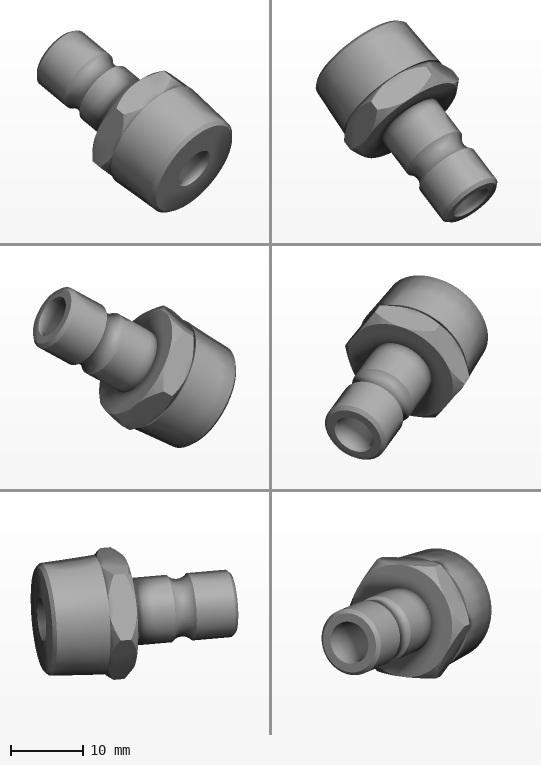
import cadquery as cq
import math

total_length = 27.0
hex_start = 15.0
hex_length = 4.0
hex_end = hex_start + hex_length

stem_radius = 9.4 / 2
stem_chamfer = 0.5
groove_start = 6.0
groove_end = 9.0
groove_radius = 2.0
groove_half_width = (groove_end - groove_start) / 2
groove_depth = groove_radius - math.sqrt(groove_radius**2 - groove_half_width**2)
bore_diameter = 6.0

hex_sides = 6
across_flats = 16.0
across_corners = across_flats / math.cos(math.pi / hex_sides)
hex_chamfer_length = 1.25

taper_start_radius = 16.662 / 2
taper_slope = 1 / 16
taper_chamfer = 0.5
taper_end = total_length - taper_chamfer
taper_end_radius = taper_start_radius - taper_slope * (taper_end - hex_end)

axis_start = (0, 0, 0)
axis_end = (1, 0, 0)
full_turn = 360


def make_stem():
    """Plain cylinder with a chamfered tip and a round-bottomed groove."""
    groove_middle = groove_start + groove_half_width
    profile = (
        cq.Workplane("XY")
        .moveTo(0, 0)
        .lineTo(0, stem_radius - stem_chamfer)
        .lineTo(stem_chamfer, stem_radius)
        .lineTo(groove_start, stem_radius)
        .threePointArc((groove_middle, stem_radius - groove_depth), (groove_end, stem_radius))
        .lineTo(hex_end, stem_radius)
        .lineTo(hex_end, 0)
        .close()
    )
    return profile.revolve(full_turn, axis_start, axis_end)


def make_hexagon():
    """Hexagon with corners on +Y and -Y, trimmed by a cone at each end."""
    prism = (
        cq.Workplane("YZ")
        .workplane(offset=hex_start)
        .polygon(hex_sides, across_corners)
        .extrude(hex_length)
    )
    flat_radius = across_flats / 2
    corner_radius = across_corners / 2
    envelope = (
        cq.Workplane("XY")
        .moveTo(hex_start, 0)
        .lineTo(hex_start, flat_radius)
        .lineTo(hex_start + hex_chamfer_length, corner_radius)
        .lineTo(hex_end - hex_chamfer_length, corner_radius)
        .lineTo(hex_end, flat_radius)
        .lineTo(hex_end, 0)
        .close()
        .revolve(full_turn, axis_start, axis_end)
    )
    return prism.intersect(envelope)


def make_tapered_end():
    """Cone narrowing away from the hexagon, chamfered at its free end."""
    profile = (
        cq.Workplane("XY")
        .moveTo(hex_end, 0)
        .lineTo(hex_end, taper_start_radius)
        .lineTo(taper_end, taper_end_radius)
        .lineTo(total_length, taper_end_radius - taper_chamfer)
        .lineTo(total_length, 0)
        .close()
    )
    return profile.revolve(full_turn, axis_start, axis_end)


def make_bore():
    """Straight hole through the whole length."""
    return cq.Workplane("YZ").circle(bore_diameter / 2).extrude(total_length)


result = make_stem().union(make_hexagon()).union(make_tapered_end()).cut(make_bore())